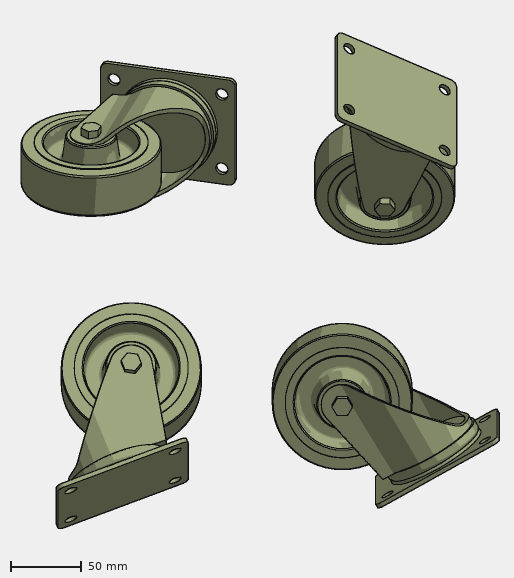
import cadquery as cq
import math


wheel_radius = 100.0 / 2
tread_half_width = 15.0
tread_shoulder_radius = 49.2
tread_shoulder_height = 16.3
tread_inner_height = 16.7
core_radius = 81.2 / 2
core_half_width = 17.5
rim_radius = 35.0
rim_chamfer = 1.0
rim_base_radius = 32.6
web_half_width = 3.1
web_outer_radius = 29.9
web_inner_radius = 23.1
hub_base_radius = 20.4
hub_radius = 18.2
hub_half_width = 22.7
hub_chamfer = 0.8

plate_length = 100.0
plate_width = 85.0
plate_thickness = 3.3
plate_corner_radius = 5.0
hole_diameter = 9.0
hole_spacing_x = 80.0
hole_spacing_z = 60.0
overall_length = 136
overall_height = 125.0
swivel_x = overall_length - wheel_radius - plate_length / 2
plate_top = overall_height - wheel_radius
plate_bottom = plate_top - plate_thickness

ring_radius = 73.6 / 2
ring_bottom = 62.2
ring_edge = 67.3
groove_depth = 1.1

fork_radius = 35.1
fork_half_width = 23.5
fork_wall = 3.3
crown_thickness = 4.1
fork_end_radius = 15.0
fork_front_x = -2.2
rim_flat_y = 57.4
rim_flat_x = 65.3
rim_fillet = 8.7

hex_across_flats = 12.6
bolt_half_length = 29.5


def make_wheel():
    """Revolve the upper half of the wheel section and mirror it."""
    wall_radius = rim_radius - rim_chamfer
    fillet_outer = rim_base_radius - web_outer_radius
    fillet_inner = web_inner_radius - hub_base_radius
    half = (
        cq.Workplane("XZ")
        .lineTo(wheel_radius, 0)
        .lineTo(wheel_radius, tread_half_width)
        .lineTo(tread_shoulder_radius, tread_shoulder_height)
        .lineTo(core_radius, tread_inner_height)
        .lineTo(core_radius, core_half_width)
        .lineTo(rim_radius, core_half_width)
        .lineTo(wall_radius, core_half_width - rim_chamfer)
        .lineTo(rim_base_radius, web_half_width + fillet_outer)
        .tangentArcPoint((web_outer_radius, web_half_width), relative=False)
        .lineTo(web_inner_radius, web_half_width)
        .tangentArcPoint((hub_base_radius, web_half_width + fillet_inner), relative=False)
        .lineTo(hub_radius, hub_half_width - hub_chamfer)
        .lineTo(hub_radius - hub_chamfer, hub_half_width)
        .lineTo(0, hub_half_width)
        .close()
        .revolve(360, (0, 0, 0), (0, 1, 0))
    )
    return half.union(half.mirror("XY"))


def make_plate():
    """Rounded rectangular plate with four bolt holes."""
    plate = (
        cq.Workplane("XZ", origin=(swivel_x, plate_top, 0))
        .rect(plate_length, plate_width)
        .extrude(plate_thickness)
        .edges("|Y")
        .fillet(plate_corner_radius)
    )
    holes = (
        cq.Workplane("XZ", origin=(swivel_x, plate_top, 0))
        .rect(hole_spacing_x, hole_spacing_z, forConstruction=True)
        .vertices()
        .circle(hole_diameter / 2)
        .extrude(plate_thickness)
    )
    return plate.cut(holes)


def make_ring():
    """Swivel bearing ring with two rounded edges meeting in a groove."""
    groove_centre = (ring_edge + plate_bottom) / 2
    ring_height = plate_bottom - ring_bottom
    groove_radius = ring_radius - groove_depth
    lower_half = (
        cq.Workplane("XY", origin=(swivel_x, 0, 0))
        .moveTo(0, ring_bottom)
        .lineTo(ring_radius, ring_bottom)
        .lineTo(ring_radius, ring_edge)
        .tangentArcPoint((groove_radius, groove_centre), relative=False)
        .lineTo(0, groove_centre)
        .close()
        .revolve(360, (0, 0, 0), (0, 1, 0))
    )
    upper_half = lower_half.mirror("XZ", (0, groove_centre, 0))
    above_plate_bottom = (
        cq.Workplane("XZ", origin=(swivel_x, plate_bottom, 0))
        .circle(ring_radius)
        .extrude(-ring_height)
    )
    return lower_half.union(upper_half.cut(above_plate_bottom))


def horseshoe(inset, bottom, top):
    """Fork section, open to -X: two flat arms flaring smoothly into a round back."""
    radius = fork_radius - inset
    arm = fork_half_width - inset
    flare_radius = (swivel_x**2 + arm**2 - radius**2) / (2 * (radius - arm))
    flare_angle = math.atan2(swivel_x, arm + flare_radius)
    half_angle = flare_angle / 2
    joint_x = flare_radius * math.sin(flare_angle)
    joint_z = arm + flare_radius * (1 - math.cos(flare_angle))
    middle_x = flare_radius * math.sin(half_angle)
    middle_z = arm + flare_radius * (1 - math.cos(half_angle))
    return (
        cq.Workplane("XZ", origin=(0, top, 0))
        .moveTo(-fork_end_radius, -arm)
        .lineTo(0, -arm)
        .threePointArc((middle_x, -middle_z), (joint_x, -joint_z))
        .threePointArc((swivel_x + radius, 0), (joint_x, joint_z))
        .threePointArc((middle_x, middle_z), (0, arm))
        .lineTo(-fork_end_radius, arm)
        .close()
        .extrude(top - bottom)
    )


def tangent_angle(x, y, side):
    """Direction from the axle to where a line from (x, y) touches the arm end."""
    return math.atan2(y, x) + side * math.acos(fork_end_radius / math.hypot(x, y))


def make_fork():
    """Bent fork: horseshoe section trimmed to its tapered side outline."""
    front_angle = tangent_angle(fork_front_x, ring_bottom, 1)
    back_angle = tangent_angle(rim_flat_x, rim_flat_y, -1)
    back_x = swivel_x + fork_radius

    def end_point(angle):
        return (fork_end_radius * math.cos(angle), fork_end_radius * math.sin(angle))

    outline = (
        cq.Workplane("XY", origin=(0, 0, -fork_radius))
        .moveTo(fork_front_x, ring_bottom)
        .lineTo(*end_point(front_angle))
        .threePointArc((0, -fork_end_radius), end_point(back_angle))
        .lineTo(rim_flat_x, rim_flat_y)
        .lineTo(back_x, rim_flat_y)
        .lineTo(back_x, ring_bottom)
        .close()
        .extrude(2 * fork_radius)
    )
    rim_corner = cq.selectors.NearestToPointSelector((rim_flat_x, rim_flat_y, 0))
    outline = outline.edges("|Z").edges(rim_corner).fillet(rim_fillet)
    outside = horseshoe(0, -fork_end_radius, ring_bottom)
    inside = horseshoe(fork_wall, -fork_end_radius, ring_bottom - crown_thickness)
    return outside.cut(inside).intersect(outline)


def make_bolt():
    """Hexagonal axle bolt with two corners along Y."""
    return (
        cq.Workplane("XY", origin=(0, 0, -bolt_half_length))
        .transformed(rotate=(0, 0, 90))
        .polygon(6, hex_across_flats / math.cos(math.pi / 6))
        .extrude(2 * bolt_half_length)
    )


result = (
    make_plate()
    .union(make_ring())
    .union(make_fork())
    .union(make_wheel())
    .union(make_bolt())
)